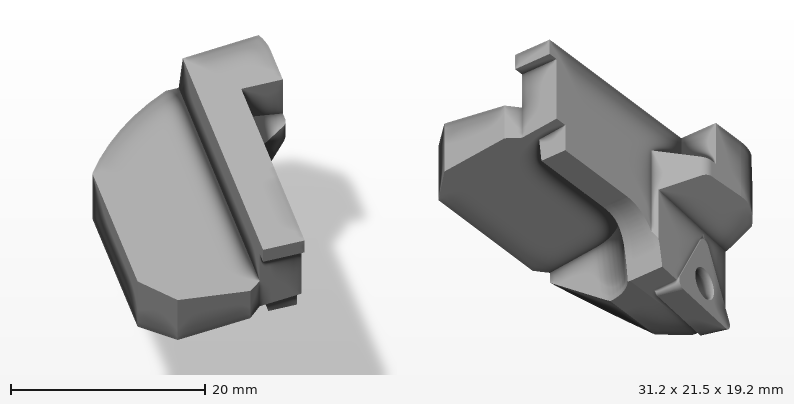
import cadquery as cq
import math


REACH = 37.43

length = 31.2
rail_thickness = 4.5
back_y = 8.98
front_y = -12.5
flange_start_x = 12.0
flank_mid = (5.4, -6.58)
front_chamfer = 3.3
back_chamfer_x = 1.2
back_chamfer_y = 1.37
block_foot_x = 14.0
block_side_angle = 51.0
block_round_radius = 1.4
block_curve_x = 4.68

neck_turn = 5.5
neck_back_y = 3.75
neck_left_u = 0.55
neck_front_v = -3.5
block_left_v = 3.1
neck_top_z = -9.33
overhang_slope = 0.51
neck_bottom_z = -18.55
neck_bottom_slope = 0.13
neck_bottom_flat_y = 0.78
neck_edge_radius = 0.47
neck_right_x = 12.8

side_bevel_z = -8.92
side_bevel_slope = 0.24
flange_top_z = -6.0
flange_top_angle = 8.0
flange_bottom_z = -11.1
flange_bottom_angle = 6.0
chin_y = -11.38
chin_z = -12.25
chin_slope = 0.73
rib_bottom_z = -12.48
rib_end_x = 28.55
rib_front_y = 1.1
rib_curve_radius = 4.87
rib_curve_angle = 78.0
pocket_left_x = 10.48
pocket_radius = 6.5
rail_lip_height = 1.8
shelf_left_x = 8.95
shelf_z = -4.37
shelf_angle = 10.0

insert_inscribed_radius = 3.18
insert_corner_radius = 0.8
insert_thickness = 3.18
insert_relief = 6.5
insert_proud = 0.2
overall_height = 19.2
screw_diameter = 2.8
screw_head_diameter = 3.62
screw_head_angle = 60.0

turn_cos = math.cos(math.radians(neck_turn))
turn_sin = math.sin(math.radians(neck_turn))
insert_center_z = insert_inscribed_radius - overall_height
insert_center_u = (insert_inscribed_radius - insert_corner_radius) * math.sqrt(3) + insert_corner_radius


def neck_point(u, v):
    """Plan point u along the neck's back plane and v behind it."""
    return (u * turn_cos - v * turn_sin, neck_back_y + u * turn_sin + v * turn_cos)


def neck_plane(proud):
    """Plane parallel to the neck's back: local x along it, local y up, normal into the neck."""
    return cq.Plane((0, neck_back_y + proud, 0), (turn_cos, turn_sin, 0), (turn_sin, -turn_cos, 0))


def prism_along_x(points, start_x=-REACH):
    """Prism of (Y, Z) points running from start_x in the +X direction."""
    return cq.Workplane("YZ", origin=(start_x, 0, 0)).polyline(points).close().extrude(2 * REACH)


def relieved_triangle(inscribed_radius):
    """Equilateral triangle outline, point up, on the insert's outer plane."""
    half_edge = inscribed_radius * math.sqrt(3)
    low_z = insert_center_z - inscribed_radius
    return (
        cq.Workplane(neck_plane(insert_proud))
        .moveTo(insert_center_u - half_edge, low_z)
        .lineTo(insert_center_u + half_edge, low_z)
        .lineTo(insert_center_u, insert_center_z + 2 * inscribed_radius)
        .close()
    )


def insert_seat():
    """Sharp-cornered triangular seat whose walls and floor fit the insert."""
    return relieved_triangle(insert_inscribed_radius).extrude(insert_thickness, taper=insert_relief)


def plan_block():
    """Whole head as a vertical prism of its plan outline."""
    side = math.radians(block_side_angle)
    block_corner_x = block_foot_x - (back_y - rail_thickness) / math.tan(side)
    tangent = block_round_radius * math.tan(side / 2)
    return (
        cq.Workplane("XY")
        .moveTo(*neck_point(neck_left_u, neck_front_v))
        .threePointArc(flank_mid, (flange_start_x, front_y))
        .lineTo(length - front_chamfer, front_y)
        .lineTo(length, front_y + front_chamfer)
        .lineTo(length, -back_chamfer_y)
        .lineTo(length - back_chamfer_x, 0)
        .lineTo(length - back_chamfer_x, rail_thickness)
        .lineTo(block_foot_x, rail_thickness)
        .lineTo(block_corner_x + tangent * math.cos(side), back_y - tangent * math.sin(side))
        .tangentArcPoint((block_corner_x - tangent, back_y), relative=False)
        .lineTo(block_curve_x, back_y)
        .tangentArcPoint(neck_point(neck_left_u, block_left_v), relative=False)
        .close()
        .extrude(neck_bottom_z)
    )


def rail_lip():
    """Top of the rail, overhanging the recessed right end."""
    return cq.Workplane("XY").box(
        back_chamfer_x, rail_thickness, rail_lip_height, centered=False
    ).translate((length - back_chamfer_x, 0, -rail_lip_height))


def side_bevel():
    """Wedge that leans the upper left face inward, parallel to the neck side."""
    lean = -side_bevel_z * side_bevel_slope
    profile = [
        (neck_left_u, side_bevel_z),
        (neck_left_u + lean, 0),
        (neck_left_u - REACH, 0),
        (neck_left_u - REACH, side_bevel_z),
    ]
    return cq.Workplane(neck_plane(0)).polyline(profile).close().extrude(REACH, both=True)


def flange_top():
    """Space above the flange, whose top climbs toward the front."""
    rise = REACH * math.tan(math.radians(flange_top_angle))
    return prism_along_x(
        [(0, flange_top_z), (0, REACH), (-REACH, REACH), (-REACH, flange_top_z + rise)]
    )


def shelf():
    """Space above the shelf behind the rail."""
    drop = REACH * math.tan(math.radians(shelf_angle))
    profile = [
        (rail_thickness, shelf_z),
        (rail_thickness, REACH),
        (rail_thickness + REACH, REACH),
        (rail_thickness + REACH, shelf_z - drop),
    ]
    return prism_along_x(profile, shelf_left_x)


def neck_back():
    """Space behind the neck, below the sloping overhang of the block."""
    plane = cq.Plane((0, neck_back_y, neck_top_z), (-turn_sin, turn_cos, 0), (turn_cos, turn_sin, 0))
    profile = [(0, 0), (REACH, REACH * overhang_slope), (REACH, -REACH), (0, -REACH)]
    return cq.Workplane(plane).polyline(profile).close().extrude(REACH, both=True)


def neck_bottom():
    """Space under the rising front part of the neck bottom."""
    rise = REACH * neck_bottom_slope
    return prism_along_x(
        [
            (neck_bottom_flat_y, neck_bottom_z),
            (neck_bottom_flat_y - REACH, neck_bottom_z + rise),
            (neck_bottom_flat_y - REACH, neck_bottom_z - REACH),
            (neck_bottom_flat_y, neck_bottom_z - REACH),
        ]
    )


def chin_bevel():
    """Space under the steep bevel that trims the front of the neck."""
    drop = REACH * chin_slope
    return prism_along_x(
        [(chin_y - REACH, chin_z + drop), (chin_y + REACH, chin_z - drop), (chin_y - REACH, chin_z - drop)]
    )


def rib_underside():
    """Space under the rib, blending down the right side of the neck."""
    steep = math.radians(rib_curve_angle)
    drop = rib_curve_radius * (1 - math.cos(steep))
    foot_height = rib_bottom_z - drop - neck_bottom_z
    steep_x = neck_right_x + foot_height / math.tan(steep)
    flat_x = steep_x + rib_curve_radius * math.sin(steep)
    return (
        cq.Workplane("XZ")
        .moveTo(REACH, rib_bottom_z)
        .lineTo(flat_x, rib_bottom_z)
        .tangentArcPoint((steep_x, rib_bottom_z - drop), relative=False)
        .lineTo(neck_right_x, neck_bottom_z)
        .lineTo(neck_right_x, -REACH)
        .lineTo(REACH, -REACH)
        .close()
        .extrude(REACH, both=True)
    )


def flange_pocket():
    """Space under the flange, around the rib and the rounded right side of the neck."""
    tilt = math.radians(flange_bottom_angle)
    rib_front_z = flange_bottom_z + (rib_front_y - front_y) * math.tan(tilt)
    plane = cq.Plane((0, rib_front_y, rib_front_z), (1, 0, 0), (0, -math.sin(tilt), math.cos(tilt)))
    bend = math.sqrt(0.5)
    arc_x = pocket_left_x + pocket_radius
    return (
        cq.Workplane(plane)
        .moveTo(pocket_left_x, -REACH)
        .lineTo(pocket_left_x, -pocket_radius)
        .threePointArc(
            (arc_x - bend * pocket_radius, (bend - 1) * pocket_radius),
            (arc_x, 0),
        )
        .lineTo(rib_end_x, 0)
        .lineTo(rib_end_x, REACH)
        .lineTo(REACH, REACH)
        .lineTo(REACH, -REACH)
        .close()
        .extrude(-REACH)
    )


def neck_edge_round():
    """Waste outside the rounded lower left edge of the neck."""
    radius = neck_edge_radius
    bend = radius * (1 - math.sqrt(0.5))
    return (
        cq.Workplane(neck_plane(0))
        .moveTo(neck_left_u, neck_bottom_z + radius)
        .threePointArc(
            (neck_left_u + bend, neck_bottom_z + bend),
            (neck_left_u + radius, neck_bottom_z),
        )
        .lineTo(neck_left_u - radius, neck_bottom_z - radius)
        .close()
        .extrude(REACH)
    )


def make_holder():
    """Tool head with its rail, flange, rib and the neck that carries the insert."""
    body = plan_block().union(rail_lip())
    cuts = [
        side_bevel(),
        flange_top(),
        shelf(),
        neck_back(),
        neck_bottom(),
        chin_bevel(),
        rib_underside(),
        flange_pocket(),
        neck_edge_round(),
        insert_seat(),
    ]
    for cut in cuts:
        body = body.cut(cut)
    return body


def make_insert():
    """Triangular insert with rounded corners, relieved sides and a countersunk screw hole."""
    blank = (
        relieved_triangle(insert_inscribed_radius - insert_corner_radius)
        .offset2D(insert_corner_radius)
        .extrude(insert_thickness, taper=insert_relief)
    )
    face_plane = neck_plane(insert_proud)
    center = [(insert_center_u, insert_center_z)]
    hole = cq.Workplane(face_plane).pushPoints(center).circle(screw_diameter / 2).extrude(insert_thickness)
    sink_depth = (screw_head_diameter - screw_diameter) / 2 / math.tan(math.radians(screw_head_angle / 2))
    sink = (
        cq.Workplane(face_plane)
        .pushPoints(center)
        .circle(screw_head_diameter / 2)
        .extrude(sink_depth, taper=screw_head_angle / 2)
    )
    return blank.cut(hole).cut(sink)


holder = make_holder()
insert = make_insert()
result = cq.Compound.makeCompound([holder.solids().val(), insert.solids().val()])